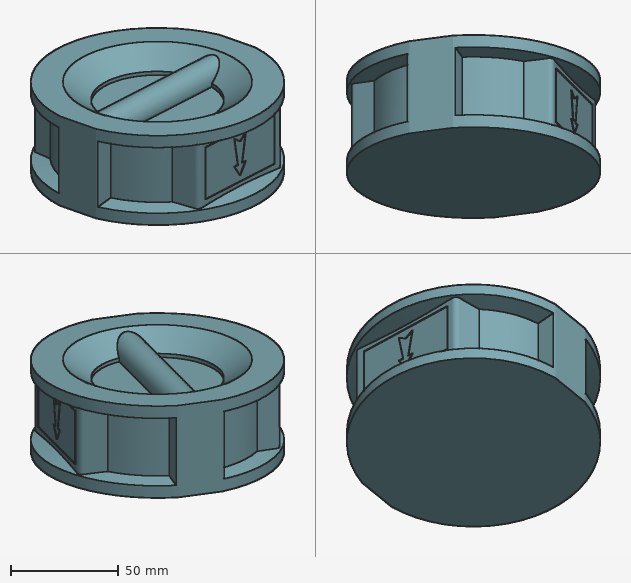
import cadquery as cq
import math

body_radius = 59.0
height = 46.0
flat_to_flat = 116.0
core_radius = 50.0

rim_thickness = 6.1
root_thickness = 7.5

lug_width = 23.8

pad_offset = core_radius
pad_root_x = 35.4
pad_half_width = 30.2
pad_side_angle = 15.0
pad_edge_radius = 2.8

panel_width = 50.2
panel_height = 26.7
panel_depth = 0.4
arrow_length = 20.3
arrow_head_length = 5.9
arrow_head_width = 8.3
arrow_neck_width = 3.1
arrow_tail_width = 8.3
arrow_tail_notch = 2.8

seat_top_radius = 44.0
seat_bottom_radius = 30.9
seat_depth = 9.2
disc_recess = 1.9

rod_radius = 8.1
rod_drop = 0.5

half_height = height / 2
seat_bottom_z = half_height - seat_depth


def make_flanged_body():
    """Spool with tapered inner flange faces, turned about Z."""
    rim_z = half_height - rim_thickness
    root_z = half_height - root_thickness
    profile = [
        (0, -half_height),
        (body_radius, -half_height),
        (body_radius, -rim_z),
        (core_radius, -root_z),
        (core_radius, root_z),
        (body_radius, rim_z),
        (body_radius, half_height),
        (0, half_height),
    ]
    return cq.Workplane("XZ").polyline(profile).close().revolve(360, (0, 0), (0, 1))


def make_lugs():
    """Both lugs as one bar, rounded at its ends to the body radius."""
    bar = cq.Workplane("XY").box(lug_width, 2 * body_radius, height)
    return bar.intersect(cq.Workplane("XY").cylinder(height, body_radius))


def make_pad(side):
    """Pad with splayed sides and rounded upright edges, on the given X side."""
    splay = (pad_offset - pad_root_x) * math.tan(math.radians(pad_side_angle))
    root_half_width = pad_half_width + splay
    outline = [
        (side * pad_root_x, -root_half_width),
        (side * pad_offset, -pad_half_width),
        (side * pad_offset, pad_half_width),
        (side * pad_root_x, root_half_width),
    ]
    pad_height = height - 2 * rim_thickness
    pad = cq.Workplane("XY").polyline(outline).close().extrude(pad_height / 2, both=True)
    outer_face = ">X" if side > 0 else "<X"
    return pad.faces(outer_face).edges("|Z").fillet(pad_edge_radius)


def make_panel_cut(side):
    """Material removed around the flow arrow of one pad."""
    panel = cq.Workplane("XY").box(2 * panel_depth, panel_width, panel_height)
    tip_z = -arrow_length / 2
    tail_z = arrow_length / 2
    head_z = tip_z + arrow_head_length
    half_outline = [
        (arrow_head_width / 2, head_z),
        (arrow_neck_width / 2, head_z),
        (arrow_tail_width / 2, tail_z),
    ]
    mirrored = [(-y, z) for y, z in reversed(half_outline)]
    outline = [(0, tip_z)] + half_outline + [(0, tail_z - arrow_tail_notch)] + mirrored
    arrow = cq.Workplane("YZ").polyline(outline).close().extrude(panel_depth, both=True)
    return panel.cut(arrow).translate((side * pad_offset, 0, 0))


def make_seat():
    """Conical bowl with a short straight step down to the disc."""
    disc_z = seat_bottom_z - disc_recess
    profile = [
        (0, disc_z),
        (seat_bottom_radius, disc_z),
        (seat_bottom_radius, seat_bottom_z),
        (seat_top_radius, half_height),
        (0, half_height),
    ]
    return cq.Workplane("XZ").polyline(profile).close().revolve(360, (0, 0), (0, 1))


def make_rod():
    """Hinge rod whose ends run into the conical wall of the seat."""
    start = cq.Workplane("XZ", origin=(0, seat_top_radius, seat_bottom_z - rod_drop))
    return start.circle(rod_radius).extrude(2 * seat_top_radius)


body = make_flanged_body().union(make_lugs())
for side in (-1, 1):
    body = body.union(make_pad(side)).cut(make_panel_cut(side))

body = body.intersect(cq.Workplane("XY").box(2 * body_radius, flat_to_flat, height))

result = body.cut(make_seat()).union(make_rod())